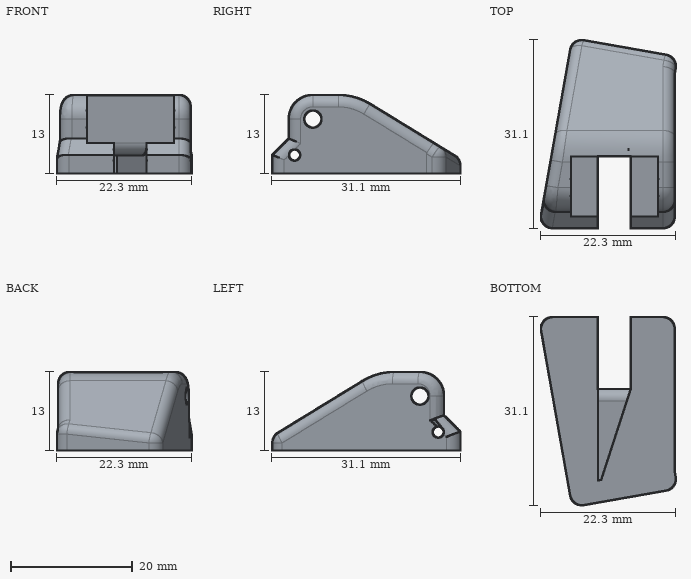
import cadquery as cq
import math

length = 31.08
width = 22.28
height = 13.0
edge_radius = 2.0
taper = math.radians(10)
right_wall_x = 22.1

toe_height = 3.08
step_depth = 2.7
nose_radius = 4.0
shoulder_radius = 10.0
slope = math.radians(31.5)
slope_top_y = 13.75

pocket_left, pocket_right = 4.95, 19.33
pocket_depth = 11.87
pocket_floor = 5.0
slot_left, slot_right = 9.42, 14.83
lip_radius = 2.0
cavity_corner = (9.95, 26.88)

pivot_diameter = 2.8
pin_diameter = 1.8
pin_y, pin_z = 3.7, 3.05


def line_x(y):
    """X of the left wall line at depth y."""
    tangent_x = edge_radius - edge_radius / math.cos(taper)
    return tangent_x + (y - edge_radius) * math.tan(taper)


def plan_outline():
    """Sharp plan outline whose rounded corners reach the full width and length."""
    cos_t, sin_t, tan_t = math.cos(taper), math.sin(taper), math.tan(taper)
    left_y = length - edge_radius
    left_x = line_x(left_y) + edge_radius / cos_t
    right_x = width - edge_radius
    right_y = left_y - (right_x - left_x) * tan_t
    reach = edge_radius * (cos_t + sin_t)
    rise = edge_radius * (cos_t - sin_t)
    rear_left = (left_x - rise, left_y + reach)
    rear_right = (right_x + reach, right_y + rise)
    kink_y = rear_right[1] - (rear_right[0] - right_wall_x) / tan_t
    return [(line_x(0), 0), (right_wall_x, 0), (right_wall_x, kink_y), rear_right, rear_left]


def box(x0, x1, y0, y1, z0, z1):
    return cq.Workplane("XY").box(x1 - x0, y1 - y0, z1 - z0, centered=False).translate((x0, y0, z0))


def side_profile():
    """Solid with the side profile, wider than the part."""
    margin = 6.22
    step_z = toe_height + step_depth
    shoulder_reach = shoulder_radius * math.tan(slope / 2)
    shoulder_start_y = slope_top_y - shoulder_reach
    shoulder_end = (
        slope_top_y + shoulder_reach * math.cos(slope),
        height - shoulder_reach * math.sin(slope),
    )
    shoulder_mid = (
        shoulder_start_y + shoulder_radius * math.sin(slope / 2),
        height - shoulder_radius * (1 - math.cos(slope / 2)),
    )
    nose_mid = (
        step_depth + nose_radius * (1 - math.sqrt(0.5)),
        height - nose_radius * (1 - math.sqrt(0.5)),
    )
    slope_foot_y = slope_top_y + height / math.tan(slope)
    return (
        cq.Workplane("YZ", origin=(-margin, 0, 0))
        .moveTo(0, 0)
        .lineTo(0, toe_height)
        .lineTo(step_depth, step_z)
        .lineTo(step_depth, height - nose_radius)
        .threePointArc(nose_mid, (step_depth + nose_radius, height))
        .lineTo(shoulder_start_y, height)
        .threePointArc(shoulder_mid, shoulder_end)
        .lineTo(slope_foot_y, 0)
        .close()
        .extrude(width + 2 * margin)
    )


def rounded_body():
    """Plan and profile intersected, with the side and rear edges rounded."""
    plan = plan_outline()
    body = cq.Workplane("XY").polyline(plan).close().extrude(height).intersect(side_profile())
    kink_x, kink_y = plan[2]
    tolerance = 0.003

    def is_rounded(edge):
        bounds = edge.BoundingBox()
        center = edge.Center()
        on_base = bounds.zmax < tolerance
        runs_across = bounds.xmax - bounds.xmin > width / 2
        at_rear = center.y > kink_y
        at_kink = (
            bounds.zmax - bounds.zmin > tolerance
            and math.hypot(center.x - kink_x, center.y - kink_y) < tolerance
        )
        return not on_base and not at_kink and (at_rear or not runs_across)

    edges = [edge for edge in body.edges().vals() if is_rounded(edge)]
    return body.newObject(edges).fillet(edge_radius)


def slot_cavity():
    """Open slot, and the tapering cavity behind it under a rounded lip."""
    slot = box(slot_left, slot_right, 0, pocket_depth, 0, pocket_floor)
    corner_x, corner_y = cavity_corner
    back_left_y = corner_y + (corner_x - slot_left) * math.tan(taper)
    cavity_plan = [
        (slot_left, pocket_depth),
        (slot_right, pocket_depth),
        cavity_corner,
        (slot_left, back_left_y),
    ]
    cavity = cq.Workplane("XY").polyline(cavity_plan).close().extrude(pocket_floor)
    ceiling = pocket_floor - lip_radius
    tunnel = box(slot_left, slot_right, pocket_depth, back_left_y, 0, ceiling)
    lip_space = box(
        slot_left, slot_right, pocket_depth, pocket_depth + lip_radius, ceiling, pocket_floor
    ).cut(
        cq.Workplane("YZ", origin=(slot_left, pocket_depth + lip_radius, pocket_floor))
        .circle(lip_radius)
        .extrude(slot_right - slot_left)
    )
    return slot.union(cavity.intersect(tunnel.union(lip_space)))


def cross_hole(diameter, y, z):
    return cq.Workplane("YZ").center(y, z).circle(diameter / 2).extrude(width)


pocket = box(pocket_left, pocket_right, 0, pocket_depth, pocket_floor, height)
pivot_hole = cross_hole(pivot_diameter, step_depth + nose_radius, height - nose_radius)
pin_hole = cross_hole(pin_diameter, pin_y, pin_z)

result = rounded_body().cut(pocket).cut(slot_cavity()).cut(pivot_hole).cut(pin_hole)